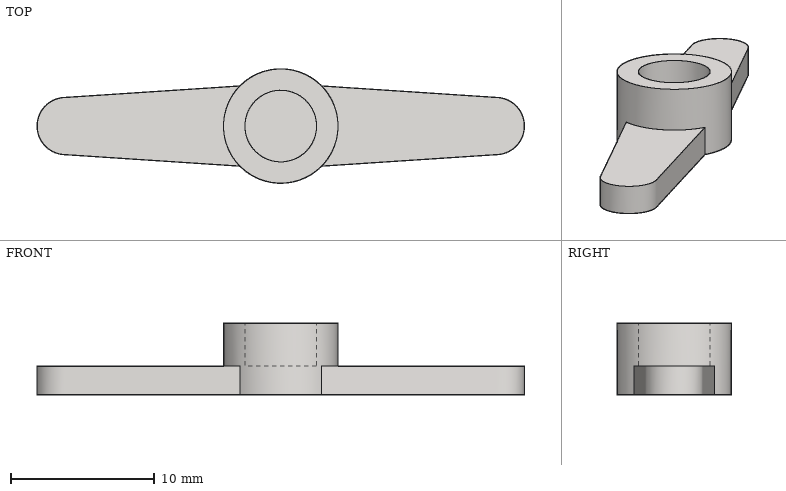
import cadquery as cq

length = 34.0
hub_diameter = 8.0
hub_height = 5.0
bore_diameter = 5.0

arm_thickness = 2.0
arm_root_width = 6.0
tip_radius = 2.0
tip_center = length / 2 - tip_radius

bore_floor = arm_thickness


def make_arms():
    root_half = arm_root_width / 2
    return (
        cq.Workplane("XY")
        .moveTo(0, root_half)
        .lineTo(tip_center, tip_radius)
        .threePointArc((length / 2, 0), (tip_center, -tip_radius))
        .lineTo(0, -root_half)
        .lineTo(-tip_center, -tip_radius)
        .threePointArc((-length / 2, 0), (-tip_center, tip_radius))
        .close()
        .extrude(arm_thickness)
    )


def make_hub():
    return cq.Workplane("XY").circle(hub_diameter / 2).extrude(hub_height)


def make_bore():
    return (
        cq.Workplane("XY")
        .workplane(offset=bore_floor)
        .circle(bore_diameter / 2)
        .extrude(hub_height - bore_floor)
    )


result = make_arms().union(make_hub()).cut(make_bore())